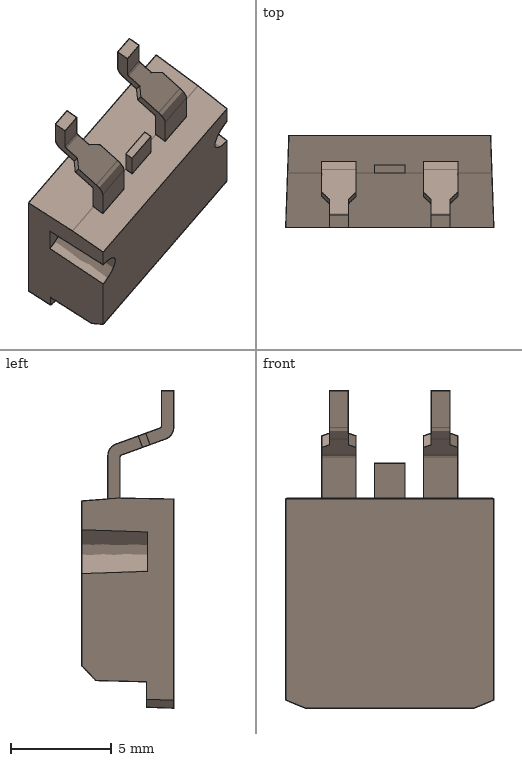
import cadquery as cq
import math

body_width = 10.4
body_depth = 4.6
draft_angle = 2.0
ridge_y = 2.71
top_front_z = 10.45
top_ridge_z = 10.5
top_back_z = 10.35
total_height = 15.85

tab_depth = 1.36
tab_corner_width = 1.0
tab_corner_height = 0.41
step_z = 1.32
step_back_z = 1.38
back_chamfer_depth = 0.71
back_chamfer_z = 2.12

notch_start_y = 1.32
notch_z = 7.81
notch_small_radius = 0.98
notch_centre_x = 5.15

lead_spacing = 5.07
lead_thickness = 0.62
lead_wide = 1.73
lead_narrow = 0.95
lead_back_y = 3.3
lead_inner_radius = 0.1
lead_upper_bend_z = 14.01
arm_angle = math.radians(20)
neck_start = 1.19
neck_length = 0.4
stub_width = 1.54
stub_thickness = 0.4
stub_top_z = 12.24
root_z = 9.51


def make_body():
    half_width = body_width / 2
    outline = [
        (-half_width + tab_corner_width, 0),
        (half_width - tab_corner_width, 0),
        (half_width, tab_corner_height),
        (half_width, total_height),
        (-half_width, total_height),
        (-half_width, tab_corner_height),
    ]
    block = cq.Workplane("XZ").polyline(outline).close().extrude(-body_depth, taper=draft_angle)
    side_profile = [
        (0, 0),
        (tab_depth, tab_depth * math.tan(math.radians(draft_angle))),
        (tab_depth, step_z),
        (body_depth - back_chamfer_depth, step_back_z),
        (body_depth, back_chamfer_z),
        (body_depth, top_back_z),
        (ridge_y, top_ridge_z),
        (0, top_front_z),
    ]
    silhouette = cq.Workplane("YZ").polyline(side_profile).close().extrude(half_width, both=True)
    return block.intersect(silhouette)


def make_notch(side):
    length = body_depth - notch_start_y
    large_radius = notch_small_radius + length * math.tan(math.radians(draft_angle))
    start = cq.Vector(side * notch_centre_x, notch_start_y, notch_z)
    cone = cq.Solid.makeCone(notch_small_radius, large_radius, length, start, cq.Vector(0, 1, 0))
    return cq.Workplane(cone)


def make_lead(centre_x):
    t = lead_thickness
    sine, cosine = math.sin(arm_angle), math.cos(arm_angle)
    upper_y, upper_z = t, lead_upper_bend_z
    lower_y = lead_back_y - t
    lower_z = upper_z - (lower_y - upper_y) * math.tan(arm_angle) - t / cosine
    half_angle = (math.pi / 2 - arm_angle) / 2
    mid_y, mid_z = t * math.cos(half_angle), t * math.sin(half_angle)
    strip = (
        cq.Workplane("YZ", origin=(centre_x, 0, 0))
        .moveTo(lower_y, root_z)
        .lineTo(lower_y, lower_z)
        .lineTo(upper_y - t * sine, upper_z - t * cosine)
        .threePointArc((upper_y - mid_y, upper_z - mid_z), (0, upper_z))
        .lineTo(0, total_height)
        .lineTo(t, total_height)
        .lineTo(upper_y, upper_z)
        .lineTo(lower_y + t * sine, lower_z + t * cosine)
        .threePointArc((lower_y + mid_y, lower_z + mid_z), (lead_back_y, lower_z))
        .lineTo(lead_back_y, root_z)
        .close()
        .extrude(lead_wide / 2, both=True)
    )
    for corner in ((centre_x, upper_y, upper_z), (centre_x, lower_y, lower_z)):
        strip = strip.edges(cq.NearestToPointSelector(corner)).fillet(lead_inner_radius)
    arm_plane = cq.Plane((centre_x, lower_y, lower_z), (0, -cosine, sine), (0, sine, cosine))
    reach = total_height - root_z
    for side in (-1, 1):
        waste = (
            cq.Workplane(arm_plane)
            .moveTo(neck_start, side * lead_wide / 2)
            .lineTo(neck_start + neck_length, side * lead_narrow / 2)
            .lineTo(reach, side * lead_narrow / 2)
            .lineTo(reach, side * lead_wide / 2)
            .close()
            .extrude(reach, both=True)
        )
        strip = strip.cut(waste)
    return strip


def make_stub():
    size = (stub_width, stub_thickness, stub_top_z - root_z)
    return cq.Workplane("XY").box(*size, centered=(True, False, False)).translate((0, ridge_y, root_z))


result = make_body()
for side in (-1, 1):
    result = result.cut(make_notch(side))
    result = result.union(make_lead(side * lead_spacing / 2))
result = result.union(make_stub())